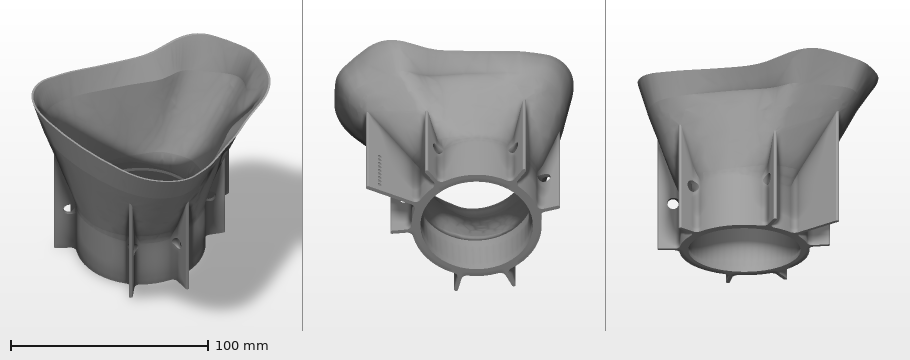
import cadquery as cq
import math

tube_top = 29.7
seam_height = 69.9
full_height = 85.3
ledge_height = 23.7

cut_clearance = 1.2
edge_tolerance = 0.1
beyond_part = 118.3

wall = 1.0
tube_inner_radius = 64.0 / 2
tube_outer_radius = tube_inner_radius + wall
throat_blend_radius = 14.2

throat_bottom_radius = 57.0 / 2
throat_top_radius = 29.3
throat_top_shift = 0.8

side_rib_angles = (60, -10, -50)
back_rib_angle = 90
side_rib_reach = 44.0
back_rib_reach = 61.3
rib_thickness = 2.0
rib_root_radius = 3.0
rib_build_height = 65.1
tie_hole_radius = 3.1
tie_hole_height = 24.8

dimple_diameter = 2.0
dimple_depth = 0.5
dimple_count = 9
dimple_pitch = 2.8
dimple_first_height = 4.5
dimple_y = 54.3

seam_outline = [
    (0, -40.2), (20.5, -38.5), (38.8, -31.6), (45.8, -24.7), (49.6, -15.7), (49.2, -8.5), (46.6, 0.5),
    (40.7, 13.1), (33.7, 27.1), (26.5, 42.5), (24.7, 52.6), (18.3, 58.9), (8.5, 66.7), (0, 70.1),
]
mouth_outline = [
    (0, -41.5), (22.5, -40.1), (42.9, -34.5), (51.6, -26.6), (55.5, -15.9), (55.1, -9.7), (53.7, 0.7),
    (49.2, 15.1), (45.8, 29.8), (40.0, 45.0), (34.2, 57.1), (24.2, 67.7), (12.5, 73.9), (0, 77.7),
]

rim_curve = [
    (-53.2, 85.3), (-30.8, 85.2), (-21.3, 84.1), (-1.5, 81.7), (18.5, 80.2), (30.4, 79.5),
    (39.4, 80.0), (48.4, 81.5), (59.9, 84.1), (68.0, 85.2), (76.9, 83.4), (82.8, 81.6),
]


def inset(half_outline, distance):
    """Move every point of a half outline inward, square to the line of its neighbours."""
    neighbours_before = [(-half_outline[1][0], half_outline[1][1])] + half_outline[:-1]
    neighbours_after = half_outline[1:] + [(-half_outline[-2][0], half_outline[-2][1])]
    moved = []
    for before, (x, y), after in zip(neighbours_before, half_outline, neighbours_after):
        along_x = after[0] - before[0]
        along_y = after[1] - before[1]
        length = math.hypot(along_x, along_y)
        moved.append((x - distance * along_y / length, y + distance * along_x / length))
    return moved


def smooth_wire(half_outline, height):
    """Closed curve through a half outline and its mirror image, starting at the front middle."""
    right_points = [cq.Vector(x, y, height) for x, y in half_outline]
    left_points = [cq.Vector(-x, y, height) for x, y in half_outline[-2::-1]]
    rightward = cq.Vector(1, 0, 0)
    outline = cq.Edge.makeSpline(right_points + left_points, tangents=[rightward, rightward], scale=False)
    return cq.Wire.assembleEdges([outline])


def circle_wire(radius, height):
    """Circle about the Z axis that starts at the front middle, like the funnel outlines."""
    circle = cq.Edge.makeCircle(radius, cq.Vector(0, 0, height))
    return cq.Wire.assembleEdges([circle]).rotate(cq.Vector(0, 0, 0), cq.Vector(0, 0, 1), -90)


def funnel_body(tube_radius, inward, blend_radius):
    """Tube and funnel as one filled body, blended where they meet."""
    sections = [
        circle_wire(tube_radius, tube_top),
        smooth_wire(inset(seam_outline, inward), seam_height),
        smooth_wire(inset(mouth_outline, inward), full_height),
    ]
    funnel = cq.Workplane(obj=cq.Solid.makeLoft(sections, True))
    tube = cq.Workplane().circle(tube_radius).extrude(tube_top)
    body = tube.union(funnel)
    meeting_edge = cq.selectors.BoxSelector(
        (-beyond_part, -beyond_part, tube_top - edge_tolerance),
        (beyond_part, beyond_part, tube_top + edge_tolerance),
        boundingbox=True,
    )
    return body.edges(meeting_edge).fillet(blend_radius)


def rib(angle, reach, has_tie_hole):
    """Upright rib with a rounded outer end, concave root fillets and, if asked, a cross hole at its root."""
    half = rib_thickness / 2
    end_x = reach - half
    centre_distance = tube_outer_radius + rib_root_radius
    root_y = half + rib_root_radius
    root_x = math.sqrt(centre_distance**2 - root_y**2)
    tube_x = root_x * tube_outer_radius / centre_distance
    tube_y = root_y * tube_outer_radius / centre_distance
    to_tube = math.atan2(-root_y, -root_x) + 2 * math.pi
    to_flat = 1.5 * math.pi
    middle = (to_tube + to_flat) / 2
    mid_x = root_x + rib_root_radius * math.cos(middle)
    mid_y = root_y + rib_root_radius * math.sin(middle)
    inner_x = tube_inner_radius
    profile = (
        cq.Workplane()
        .moveTo(inner_x, -tube_y)
        .lineTo(tube_x, -tube_y)
        .threePointArc((mid_x, -mid_y), (root_x, -half))
        .lineTo(end_x, -half)
        .threePointArc((reach, 0), (end_x, half))
        .lineTo(root_x, half)
        .threePointArc((mid_x, mid_y), (tube_x, tube_y))
        .lineTo(inner_x, tube_y)
        .close()
        .extrude(rib_build_height)
    )
    if has_tie_hole:
        hole = (
            cq.Workplane("XZ")
            .center(tube_outer_radius + tie_hole_radius, tie_hole_height)
            .circle(tie_hole_radius)
            .extrude(2 * root_y, both=True)
        )
        profile = profile.cut(hole)
    return profile.rotate((0, 0, 0), (0, 0, 1), angle)


def hollow(body, void):
    """Join the skins of a body and of the void inside it; both are open at the flat mouth."""
    mouth = cq.Face.makeFromWires(body.faces(">Z").wires().val(), [void.faces(">Z").wires().val()])
    skins = body.faces("not >Z").vals() + void.faces("not >Z").vals()
    return cq.Workplane(obj=cq.Solid.makeSolid(cq.Shell.makeShell(skins + [mouth])))


def throat():
    """Bore through the thick lower tube, with a flat ledge left around its top."""
    bottom = cq.Wire.makeCircle(throat_bottom_radius, cq.Vector(0, 0, 0), cq.Vector(0, 0, 1))
    top_centre = cq.Vector(0, throat_top_shift, ledge_height)
    top = cq.Wire.makeCircle(throat_top_radius, top_centre, cq.Vector(0, 0, 1))
    return cq.Workplane(obj=cq.Solid.makeLoft([bottom, top], True))


def above_rim():
    """Everything above the wavy rim."""
    top = full_height + cut_clearance
    return (
        cq.Workplane("YZ")
        .moveTo(*rim_curve[0])
        .spline(rim_curve[1:], includeCurrent=True)
        .lineTo(rim_curve[-1][0], top)
        .lineTo(rim_curve[0][0], top)
        .close()
        .extrude(beyond_part, both=True)
    )


def dimples():
    """Shallow round plugs in a column, starting at the -X face of the back rib."""
    heights = [dimple_first_height + i * dimple_pitch for i in range(dimple_count)]
    return (
        cq.Workplane("YZ", origin=(-rib_thickness / 2, 0, 0))
        .pushPoints([(dimple_y, height) for height in heights])
        .circle(dimple_diameter / 2)
        .extrude(dimple_depth)
    )


outer_body = funnel_body(tube_outer_radius, 0, throat_blend_radius)
for rib_angle in side_rib_angles:
    side_rib = rib(rib_angle, side_rib_reach, True)
    outer_body = outer_body.union(side_rib).union(side_rib.mirror("YZ"))
outer_body = outer_body.union(rib(back_rib_angle, back_rib_reach, False).cut(dimples()))

below_ledge = cq.Workplane().circle(tube_outer_radius).extrude(ledge_height)
cavity = funnel_body(tube_inner_radius, wall, throat_blend_radius + wall).cut(below_ledge)

part = hollow(outer_body, cavity).cut(throat()).cut(above_rim())
result = part.solids()